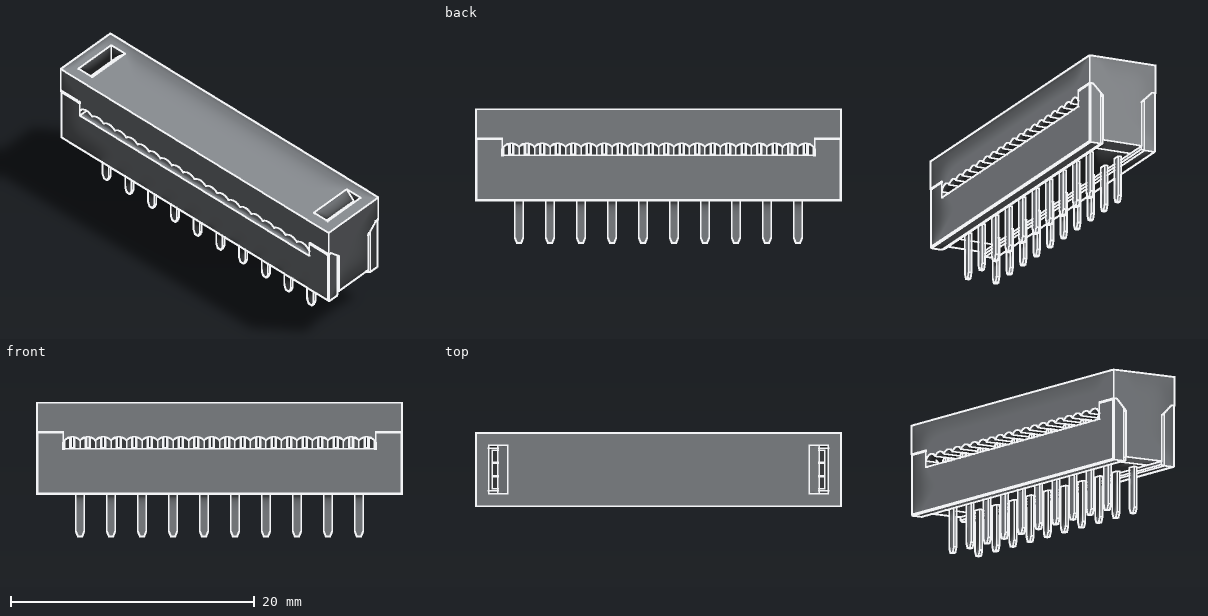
import cadquery as cq


length = 29.95
width = 6.02
body_height = 7.52
pin_length = 3.48

seam_z = 5.12
sill_z = 3.72
window_half_x = 12.82
edge_chamfer = 0.1
channel_width = 3.5
lead_in_half_y = 2.7
underside_z = 0.35
mouth_bevel_y = 0.25
mouth_bevel_x = 0.12
rail_bevel_z = 0.1

wire_count = 20
wire_span = 24.15
contact_thickness = 0.27
slot_opening = 0.42
slot_throat = 0.2
slot_floor = 0.1
pin_width = 0.72
pin_tip_width = 0.35
pin_tip_height = 0.45

scallop_diameter = 1.65
scallop_peak_z = 4.7
release_outer_x = 13.93
release_inner_x = 12.37
release_ramp = 0.8
release_width = 3.95

hook_tip_x = 13.63
hook_half_y = 1.6
hook_middle_half_y = 0.5
hook_gap = 0.1
hook_seat_z = 1.53
hook_lip = 0.3

half_length = length / 2
half_width = width / 2
channel_half_y = channel_width / 2
release_half_y = release_width / 2
scallop_radius = scallop_diameter / 2
wire_pitch = wire_span / (wire_count - 1)
row_y = wire_pitch
lead_in_drop = lead_in_half_y - channel_half_y
tongue_z = seam_z - lead_in_drop
wire_xs = [i * wire_pitch - wire_span / 2 for i in range(wire_count)]
sides = (-1, 1)


def block(x_range, y_range, z_range):
    """Box between two limits on each axis, given in either order."""
    limits = [sorted(pair) for pair in (x_range, y_range, z_range)]
    size = [high - low for low, high in limits]
    corner = tuple(low for low, high in limits)
    return cq.Workplane("XY").box(*size, centered=False).translate(corner)


def prism_along_y(points, y_min, y_max):
    """Extrude an XZ outline between two Y positions."""
    return cq.Workplane("XZ", origin=(0, y_min, 0)).polyline(points).close().extrude(y_min - y_max)


def guide(side):
    """Guide section at one end: a funnel between the posts over a straight channel."""
    outline = [
        (-lead_in_half_y, seam_z),
        (-channel_half_y, tongue_z),
        (-channel_half_y, underside_z),
        (channel_half_y, underside_z),
        (channel_half_y, tongue_z),
        (lead_in_half_y, seam_z),
    ]
    start = window_half_x if side > 0 else -half_length
    depth = half_length - window_half_x
    return cq.Workplane("YZ", origin=(start, 0, 0)).polyline(outline).close().extrude(depth)


def channel_mouth(side):
    """Bevels where the guide channel opens at the end of the base."""
    outer = channel_half_y + mouth_bevel_y
    inner_x = half_length - mouth_bevel_x
    outline = [
        (side * half_length, -outer),
        (side * inner_x, -channel_half_y),
        (side * inner_x, channel_half_y),
        (side * half_length, outer),
    ]
    return cq.Workplane("XY").polyline(outline).close().extrude(seam_z)


def underside_recess():
    """Groove under the whole base, flared at its lower edges."""
    flare = channel_half_y + mouth_bevel_y
    outline = [
        (-flare, 0),
        (-channel_half_y, rail_bevel_z),
        (-channel_half_y, underside_z),
        (channel_half_y, underside_z),
        (channel_half_y, rail_bevel_z),
        (flare, 0),
    ]
    return cq.Workplane("YZ", origin=(-half_length, 0, 0)).polyline(outline).close().extrude(length)


def hook_ramps(side):
    """Snap hook on the end wall: a 45 degree middle ramp and two steep flanks."""

    def ramp(rise, y_min, y_max):
        tip_z = hook_seat_z + hook_lip
        outline = [
            (side * window_half_x, hook_seat_z),
            (side * hook_tip_x, hook_seat_z),
            (side * hook_tip_x, tip_z),
            (side * window_half_x, tip_z + rise),
        ]
        return prism_along_y(outline, y_min, y_max)

    middle_rise = hook_tip_x - window_half_x
    flank_rise = sill_z - hook_seat_z - hook_lip
    flank_start = hook_middle_half_y + hook_gap
    return [
        ramp(middle_rise, -hook_middle_half_y, hook_middle_half_y),
        ramp(flank_rise, -hook_half_y, -flank_start),
        ramp(flank_rise, flank_start, hook_half_y),
    ]


def scallop(x):
    """Round trough for one wire, running across the connector."""
    return (
        cq.Workplane("XZ", origin=(x, half_width, scallop_peak_z - scallop_radius))
        .circle(scallop_radius)
        .extrude(width)
    )


def blade(index):
    """Contact blade with a wire slot bevelled from both faces, topped by its scallop.

    Odd and even wires alternate between the two rows.
    """
    x = wire_xs[index]
    y = row_y if index % 2 else -row_y
    opening = slot_opening / 2
    throat = slot_throat / 2
    half = contact_thickness / 2
    blank = block(
        (x - wire_pitch / 2, x + wire_pitch / 2),
        (y - half, y + half),
        (sill_z, scallop_peak_z),
    )
    slot = (
        cq.Workplane("XY", origin=(x, y, sill_z + slot_floor))
        .polyline([
            (-opening, -half),
            (opening, -half),
            (throat, 0),
            (opening, half),
            (-opening, half),
            (-throat, 0),
        ])
        .close()
        .extrude(scallop_peak_z - sill_z)
    )
    crown = scallop(x).union(
        block(
            (x - wire_pitch / 2, x + wire_pitch / 2),
            (-half_width, half_width),
            (sill_z, scallop_peak_z - scallop_radius),
        )
    )
    return blank.intersect(crown).cut(slot)


def pin(x, y):
    """Flat solder pin, tapered in X towards its tip."""
    half = pin_width / 2
    tip = pin_tip_width / 2
    outline = [
        (x - half, underside_z),
        (x - half, pin_tip_height - pin_length),
        (x - tip, -pin_length),
        (x + tip, -pin_length),
        (x + half, pin_tip_height - pin_length),
        (x + half, underside_z),
    ]
    return prism_along_y(outline, y - contact_thickness / 2, y + contact_thickness / 2)


def make_base():
    shell = block((-half_length, half_length), (-half_width, half_width), (0, seam_z))
    window = block((-window_half_x, window_half_x), (-half_width, half_width), (sill_z, seam_z))
    base = (
        shell.cut(window)
        .edges("(|Z and (<X or >X)) or (|X and (<Z or >Z))")
        .chamfer(edge_chamfer)
        .cut(underside_recess())
    )
    for side in sides:
        base = base.cut(guide(side)).cut(channel_mouth(side))
        for hook_ramp in hook_ramps(side):
            base = base.union(hook_ramp)
    for index in range(wire_count):
        base = base.union(blade(index))
    for left_x, right_x in zip(wire_xs[::2], wire_xs[1::2]):
        for row in sides:
            base = base.union(pin((left_x + right_x) / 2, row * row_y))
    return base


def release_slot(side):
    """Slot through the cover over a hook, with a 45 degree ramp along its inner edge."""
    wall_x = release_inner_x + release_ramp
    outline = [
        (side * release_inner_x, body_height),
        (side * release_outer_x, body_height),
        (side * release_outer_x, tongue_z),
        (side * wall_x, tongue_z),
        (side * wall_x, body_height - release_ramp),
    ]
    return prism_along_y(outline, -release_half_y, release_half_y)


def make_cover():
    cover = block((-half_length, half_length), (-half_width, half_width), (seam_z, body_height))
    tongue = block((-window_half_x, window_half_x), (-half_width, half_width), (tongue_z, seam_z))
    cover = cover.union(tongue)
    for side in sides:
        latch_space = block(
            (side * window_half_x, side * release_outer_x),
            (-channel_half_y, channel_half_y),
            (hook_seat_z, tongue_z),
        )
        leg_and_foot = guide(side).cut(latch_space)
        cover = cover.union(leg_and_foot).cut(release_slot(side))
    for x in wire_xs:
        cover = cover.cut(scallop(x))
    return cover


base = make_base()
cover = make_cover()

result = cq.Compound.makeCompound([base.val(), cover.val()])